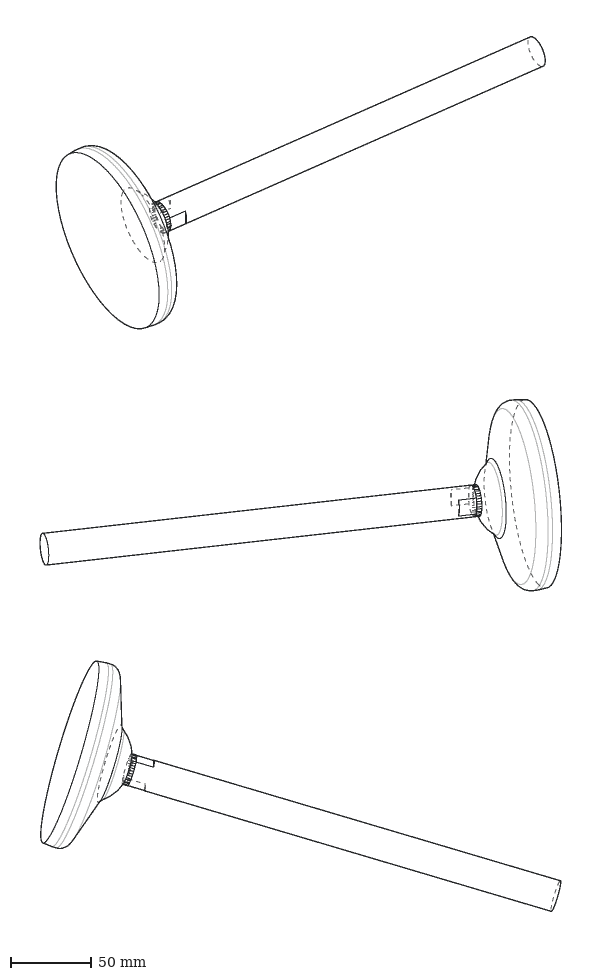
import cadquery as cq
import math

overall_length = 319.0
base_y = -overall_length / 2
top_y = overall_length / 2

rim_radius = 60.0
face_radius = 59.3
rim_bottom_height = 6.0
rim_top_height = 9.0
shoulder_radius = 7.0
cone_angle = 19.5
cone_top_radius = 25.2
step_height = 2.0
dome_edge_radius = 23.0
dome_mid_radius = 15.5
dome_mid_height = 35.0
dome_top_height = 37.5

rod_radius = 10.05
flat_width = 17.0
flat_bottom_height = 40.8
flat_length = 11.5
tooth_count = 18
tooth_depth = 0.48


def make_foot():
    """Disc-shaped foot: tapered rim, rounded shoulder, cone and dome, revolved about Y."""
    slope = math.radians(cone_angle)
    shoulder_center_radius = rim_radius - shoulder_radius
    shoulder_end_radius = shoulder_center_radius + shoulder_radius * math.sin(slope)
    shoulder_end_height = rim_top_height + shoulder_radius * math.cos(slope)
    cone_top_height = shoulder_end_height + (shoulder_end_radius - cone_top_radius) * math.tan(slope)
    mid_angle = (slope + math.pi / 2) / 2
    shoulder_mid = (
        shoulder_center_radius + shoulder_radius * math.sin(mid_angle),
        base_y + rim_top_height + shoulder_radius * math.cos(mid_angle),
    )
    return (
        cq.Workplane("XY")
        .moveTo(0, base_y)
        .lineTo(face_radius, base_y)
        .lineTo(rim_radius, base_y + rim_bottom_height)
        .lineTo(rim_radius, base_y + rim_top_height)
        .threePointArc(shoulder_mid, (shoulder_end_radius, base_y + shoulder_end_height))
        .lineTo(cone_top_radius, base_y + cone_top_height)
        .lineTo(dome_edge_radius, base_y + cone_top_height + step_height)
        .threePointArc(
            (dome_mid_radius, base_y + dome_mid_height),
            (rod_radius, base_y + dome_top_height),
        )
        .lineTo(0, base_y + dome_top_height)
        .close()
        .revolve(360, (0, 0, 0), (0, 1, 0))
    )


def make_toothed_collar(bottom_y):
    """Collar from bottom_y up to the flats, with shallow pointed teeth around it."""
    points = []
    for index in range(2 * tooth_count):
        angle = math.pi * index / tooth_count
        radius = rod_radius - tooth_depth * (index % 2)
        points.append((radius * math.cos(angle), radius * math.sin(angle)))
    collar_height = base_y + flat_bottom_height - bottom_y
    return (
        cq.Workplane("XZ", origin=(0, bottom_y, 0))
        .polyline(points)
        .close()
        .extrude(-collar_height)
    )


def make_rod():
    """Round rod standing on the dome by its collar, with flats facing -X and +X."""
    flat_bottom_y = base_y + flat_bottom_height
    rod = (
        cq.Workplane("XZ", origin=(0, flat_bottom_y, 0))
        .circle(rod_radius)
        .extrude(flat_bottom_y - top_y)
    )
    flat_middle_y = flat_bottom_y + flat_length / 2
    cutter_depth = rod_radius
    for side in (-1, 1):
        cutter_x = side * (flat_width + cutter_depth) / 2
        cutter = cq.Workplane("XY", origin=(cutter_x, flat_middle_y, 0)).box(
            cutter_depth, flat_length, 2 * rod_radius
        )
        rod = rod.cut(cutter)
    return rod.union(make_toothed_collar(base_y + dome_top_height))


foot = make_foot()
rod = make_rod()

result = cq.Compound.makeCompound([foot.val(), rod.val()])